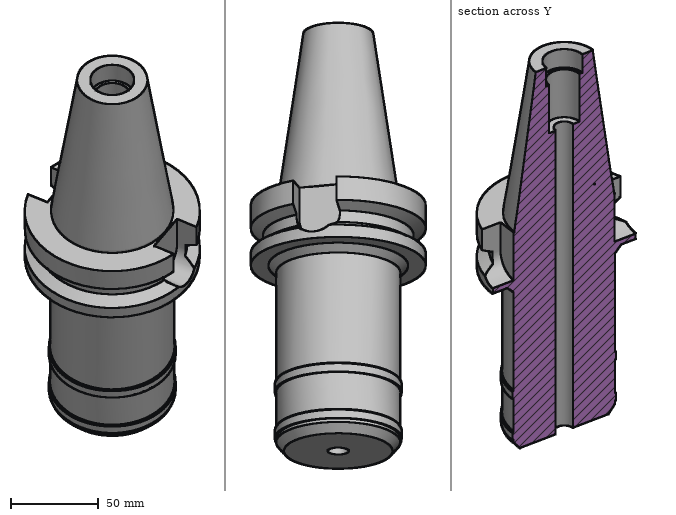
import cadquery as cq
import math


gauge_diameter = 69.85
taper_length = 101.8
taper_ratio = 7 / 24
taper_end_diameter = gauge_diameter - taper_ratio * taper_length

flange_diameter = 100.0
flange_top_z = -1.5
flange_bottom_z = -38.0
groove_diameter = 86.0
groove_center_z = -23.1
groove_mouth_width = 15.0
groove_wall_angle = 30.0
collar_diameter = 79.8

body_diameter = 71.0
body_bottom_z = -150.0
nose_diameter = 62.0
nose_height = 5.25

band_diameter = 72.6
band_height = 5.75
band_top_heights = (41.2, 13.2)
band_cone_height = 0.75

slot_width = 25.7
slot_floor_distance = 35.4
slot_bottom_z = -34.0

counterbore_diameter = 25.0
counterbore_depth = 12.5
thread_bore_diameter = 21.0
thread_bore_depth = 45.0
through_hole_diameter = 12.0


def revolve_profile(profile):
    """Revolve (radius, z) points about the Z axis, starting on the -Y side."""
    half_plane = cq.Plane(origin=(0, 0, 0), xDir=(0, -1, 0), normal=(-1, 0, 0))
    return cq.Workplane(half_plane).polyline(profile).close().revolve(360, (0, 0), (0, 1))


def make_shank():
    """Revolve the taper, flange and body as one profile."""
    flange_radius = flange_diameter / 2
    groove_radius = groove_diameter / 2
    collar_radius = collar_diameter / 2
    body_radius = body_diameter / 2
    groove_wall_height = (flange_radius - groove_radius) * math.tan(math.radians(groove_wall_angle))
    groove_top_z = groove_center_z + groove_mouth_width / 2
    groove_bottom_z = groove_center_z - groove_mouth_width / 2
    profile = [
        (0, taper_length),
        (taper_end_diameter / 2, taper_length),
        (gauge_diameter / 2, 0),
        (gauge_diameter / 2, flange_top_z),
        (flange_radius, flange_top_z),
        (flange_radius, groove_top_z),
        (groove_radius, groove_top_z - groove_wall_height),
        (groove_radius, groove_bottom_z + groove_wall_height),
        (flange_radius, groove_bottom_z),
        (flange_radius, flange_bottom_z),
        (collar_radius, flange_bottom_z),
        (body_radius, flange_bottom_z - (collar_radius - body_radius)),
        (body_radius, body_bottom_z + nose_height),
        (nose_diameter / 2, body_bottom_z),
        (0, body_bottom_z),
    ]
    return revolve_profile(profile)


def make_band(top_z):
    """One raised band with a short cone leading up to the body."""
    bottom_z = top_z - band_height
    profile = [
        (0, top_z),
        (body_diameter / 2, top_z),
        (band_diameter / 2, top_z - band_cone_height),
        (band_diameter / 2, bottom_z),
        (0, bottom_z),
    ]
    return revolve_profile(profile)


def make_slot_cutter(side):
    """Round-bottomed slot cutter; side is -1 for -X and +1 for +X."""
    half_width = slot_width / 2
    arc_center_z = slot_bottom_z + half_width
    return (
        cq.Workplane("YZ", origin=(side * slot_floor_distance, 0, 0))
        .moveTo(-half_width, flange_top_z)
        .lineTo(-half_width, arc_center_z)
        .threePointArc((0, slot_bottom_z), (half_width, arc_center_z))
        .lineTo(half_width, flange_top_z)
        .close()
        .extrude(side * flange_diameter / 2)
    )


def make_bore(diameter, depth):
    """Cylinder reaching down from the small end of the taper."""
    return cq.Workplane("XY", origin=(0, 0, taper_length)).circle(diameter / 2).extrude(-depth)


result = make_shank()

for band_top_height in band_top_heights:
    result = result.union(make_band(body_bottom_z + band_top_height))

for slot_side in (-1, 1):
    result = result.cut(make_slot_cutter(slot_side))

result = result.cut(make_bore(counterbore_diameter, counterbore_depth))
result = result.cut(make_bore(thread_bore_diameter, thread_bore_depth))
result = result.cut(make_bore(through_hole_diameter, taper_length - body_bottom_z))